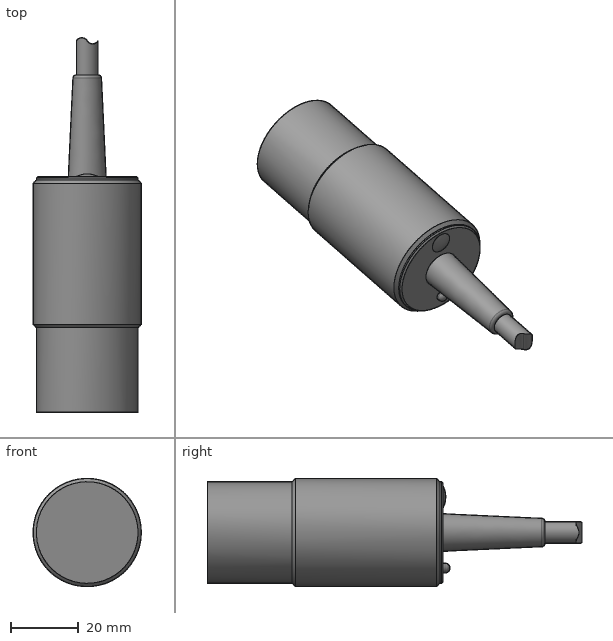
import cadquery as cq
import math

overall_length = 110.58

nose_diameter = 30.0
nose_length = 25.0
body_diameter = 32.0
body_end_y = 68.6
body_chamfer = (body_diameter - nose_diameter) / 2

cap_diameter = 30.0
cap_thickness = 1.0
cap_chamfer = 0.5
cap_face_y = body_end_y + cap_thickness

relief_base_diameter = 11.2
relief_tip_diameter = 8.4
relief_length = 30.0
relief_tip_rounding = 1.0
relief_tip_y = cap_face_y + relief_length

cable_diameter = 6.4
break_chord = cable_diameter / 2
break_height = 0.9
break_y = overall_length - break_height

detail_offset = 10.5
dome_diameter = 6.4
dome_sphere_radius = 7.0
dome_height = dome_sphere_radius - math.sqrt(dome_sphere_radius**2 - (dome_diameter / 2) ** 2)
lamp_diameter = 3.0
lamp_rim_height = 0.5
lamp_embed = 0.5


def revolve_about_y(profile):
    """Turn a closed half profile (radius along X) about the Y axis."""
    return profile.close().revolve(360, (0, 0, 0), (0, 1, 0))


def make_housing():
    nose_radius = nose_diameter / 2
    body_radius = body_diameter / 2
    profile = (
        cq.Workplane("XY")
        .lineTo(nose_radius, 0)
        .lineTo(nose_radius, nose_length)
        .lineTo(body_radius, nose_length + body_chamfer)
        .lineTo(body_radius, body_end_y - body_chamfer)
        .lineTo(body_radius - body_chamfer, body_end_y)
        .lineTo(0, body_end_y)
    )
    return revolve_about_y(profile)


def make_cap():
    cap_radius = cap_diameter / 2
    profile = (
        cq.Workplane("XY")
        .moveTo(0, body_end_y)
        .lineTo(cap_radius, body_end_y)
        .lineTo(cap_radius, cap_face_y - cap_chamfer)
        .lineTo(cap_radius - cap_chamfer, cap_face_y)
        .lineTo(0, cap_face_y)
    )
    return revolve_about_y(profile)


def make_strain_relief():
    profile = (
        cq.Workplane("XY")
        .moveTo(0, cap_face_y)
        .lineTo(relief_base_diameter / 2, cap_face_y)
        .lineTo(relief_tip_diameter / 2, relief_tip_y)
        .lineTo(0, relief_tip_y)
    )
    return revolve_about_y(profile).faces(">Y").edges().fillet(relief_tip_rounding)


def make_cable():
    """Cable whose end is a hump on the -X half and a hollow on the +X half."""
    cable_radius = cable_diameter / 2
    cable = (
        cq.Workplane("XZ", origin=(0, cap_face_y, 0))
        .circle(cable_radius)
        .extrude(-(overall_length - cap_face_y))
    )
    break_outline = (
        cq.Workplane("XY")
        .moveTo(-cable_radius, cap_face_y)
        .lineTo(-cable_radius, break_y)
        .threePointArc((-break_chord / 2, break_y + break_height), (0, break_y))
        .threePointArc((break_chord / 2, break_y - break_height), (cable_radius, break_y))
        .lineTo(cable_radius, cap_face_y)
        .close()
        .extrude(cable_radius, both=True)
    )
    return cable.intersect(break_outline)


def make_dome():
    """Shallow spherical cap standing on the rear face."""
    profile = (
        cq.Workplane("XY")
        .moveTo(0, cap_face_y)
        .lineTo(dome_diameter / 2, cap_face_y)
        .radiusArc((0, cap_face_y + dome_height), -dome_sphere_radius)
    )
    return revolve_about_y(profile).translate((0, 0, detail_offset))


def make_lamp():
    """Round-topped indicator lamp, seated slightly into the rear face."""
    lamp_radius = lamp_diameter / 2
    rim_y = cap_face_y + lamp_rim_height
    profile = (
        cq.Workplane("XY")
        .moveTo(0, cap_face_y - lamp_embed)
        .lineTo(lamp_radius, cap_face_y - lamp_embed)
        .lineTo(lamp_radius, rim_y)
        .radiusArc((0, rim_y + lamp_radius), -lamp_radius)
    )
    return revolve_about_y(profile).translate((0, 0, -detail_offset))


result = (
    make_housing()
    .union(make_cap())
    .union(make_strain_relief())
    .union(make_cable())
    .union(make_dome())
    .union(make_lamp())
)